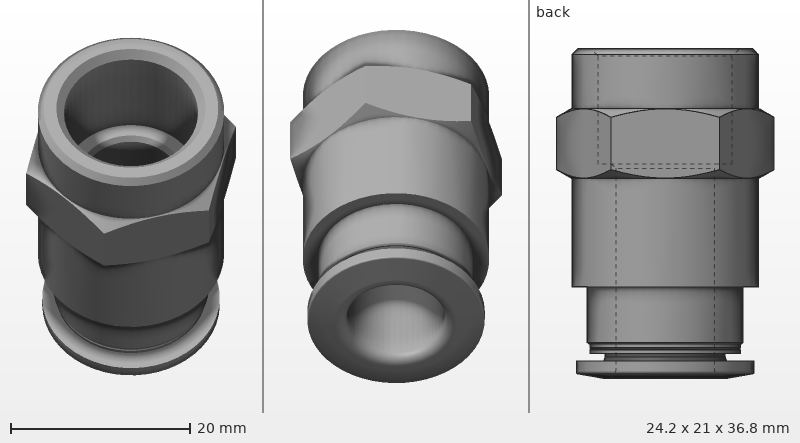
import cadquery as cq
import math

total_height = 36.8
hex_across_flats = 21.0

body_diameter = 20.8
body_bottom = 10.23
top_chamfer = 0.65

hex_sides = 6
hex_bottom = 22.3
hex_top = 30.15
hex_bevel_angle = 30.0

neck_diameter = 17.4
neck_bottom = 4.05
neck_chamfer = 0.2
lip_diameter = 16.8
lip_bottom = 2.8
lip_groove_depth = 0.1
lip_groove_width = 0.25

stem_diameter = 13.4
stem_flare_height = 0.45
stem_flare = 0.15
flange_diameter = 19.8
flange_top = 2.0
face_angle = 10.0
rim_round = 0.2
entry_round = 1.1

mouth_diameter = 16.65
socket_diameter = 14.95
socket_depth = 12.88
passage_diameter = 11.0
passage_mouth_diameter = 12.0


def cone_or_cylinder(lower_diameter, upper_diameter, bottom, top):
    """Solid of revolution about Z with straight sides."""
    return (
        cq.Workplane("XZ")
        .moveTo(0, bottom)
        .lineTo(lower_diameter / 2, bottom)
        .lineTo(upper_diameter / 2, top)
        .lineTo(0, top)
        .close()
        .revolve(360, (0, 0), (0, 1))
    )


def cylinder(diameter, bottom, top):
    return cone_or_cylinder(diameter, diameter, bottom, top)


def make_body():
    body = cylinder(body_diameter, body_bottom, total_height)
    return body.faces(">Z").chamfer(top_chamfer)


def make_hexagon():
    across_corners = hex_across_flats / math.cos(math.radians(180 / hex_sides))
    prism = (
        cq.Workplane("XY")
        .workplane(offset=hex_bottom)
        .polygon(hex_sides, across_corners)
        .extrude(hex_top - hex_bottom)
    )
    bevel_height = (across_corners - body_diameter) / 2 * math.tan(math.radians(hex_bevel_angle))
    lower_edge = hex_bottom + bevel_height
    upper_edge = hex_top - bevel_height
    trim = (
        cone_or_cylinder(body_diameter, across_corners, hex_bottom, lower_edge)
        .union(cylinder(across_corners, lower_edge, upper_edge))
        .union(cone_or_cylinder(across_corners, body_diameter, upper_edge, hex_top))
    )
    return prism.intersect(trim)


def make_neck():
    neck = cylinder(neck_diameter, neck_bottom - neck_chamfer, body_bottom)
    neck = neck.faces("<Z").chamfer(neck_chamfer)
    lip_top = neck_bottom - neck_chamfer
    neck = neck.union(cylinder(lip_diameter, lip_bottom, lip_top))
    groove_middle = (lip_bottom + lip_top) / 2
    lip_radius = lip_diameter / 2
    groove = (
        cq.Workplane("XZ")
        .moveTo(lip_radius, groove_middle - lip_groove_width / 2)
        .lineTo(lip_radius - lip_groove_depth, groove_middle)
        .lineTo(lip_radius, groove_middle + lip_groove_width / 2)
        .close()
        .revolve(360, (0, 0), (0, 1))
    )
    return neck.cut(groove)


def make_release_ring():
    flange_radius = flange_diameter / 2
    stem_radius = stem_diameter / 2
    passage_radius = passage_diameter / 2
    slope = math.radians(face_angle)
    entry_centre = passage_radius + entry_round
    cone_inner_radius = entry_centre + entry_round * math.sin(slope)
    cone_inner_height = entry_round * (1 - math.cos(slope))
    entry_middle = entry_round * math.sqrt(0.5)
    cone_outer_radius = flange_radius - rim_round * (1 - math.sin(slope))
    cone_outer_height = cone_inner_height + (cone_outer_radius - cone_inner_radius) * math.tan(slope)
    rim_centre_radius = flange_radius - rim_round
    rim_centre_height = cone_outer_height + rim_round * math.cos(slope)
    rim_middle = rim_round * math.sqrt(0.5)
    return (
        cq.Workplane("XZ")
        .moveTo(passage_radius, entry_round)
        .threePointArc(
            (entry_centre - entry_middle, entry_round - entry_middle),
            (cone_inner_radius, cone_inner_height),
        )
        .lineTo(cone_outer_radius, cone_outer_height)
        .threePointArc(
            (rim_centre_radius + rim_middle, rim_centre_height - rim_middle),
            (flange_radius, rim_centre_height),
        )
        .lineTo(flange_radius, flange_top)
        .lineTo(stem_radius + stem_flare, flange_top)
        .lineTo(stem_radius, flange_top + stem_flare_height)
        .lineTo(stem_radius, lip_bottom)
        .lineTo(passage_radius, lip_bottom)
        .close()
        .revolve(360, (0, 0), (0, 1))
    )


def make_bore():
    mouth_depth = (mouth_diameter - socket_diameter) / 2
    passage_mouth_depth = (passage_mouth_diameter - passage_diameter) / 2
    socket_floor = total_height - socket_depth
    mouth = cone_or_cylinder(socket_diameter, mouth_diameter, total_height - mouth_depth, total_height)
    socket = cylinder(socket_diameter, socket_floor, total_height)
    passage_mouth = cone_or_cylinder(
        passage_diameter, passage_mouth_diameter, socket_floor - passage_mouth_depth, socket_floor
    )
    passage = cylinder(passage_diameter, 0, socket_floor)
    return mouth.union(socket).union(passage_mouth).union(passage)


outside = make_body().union(make_hexagon()).union(make_neck()).union(make_release_ring())
result = outside.cut(make_bore())